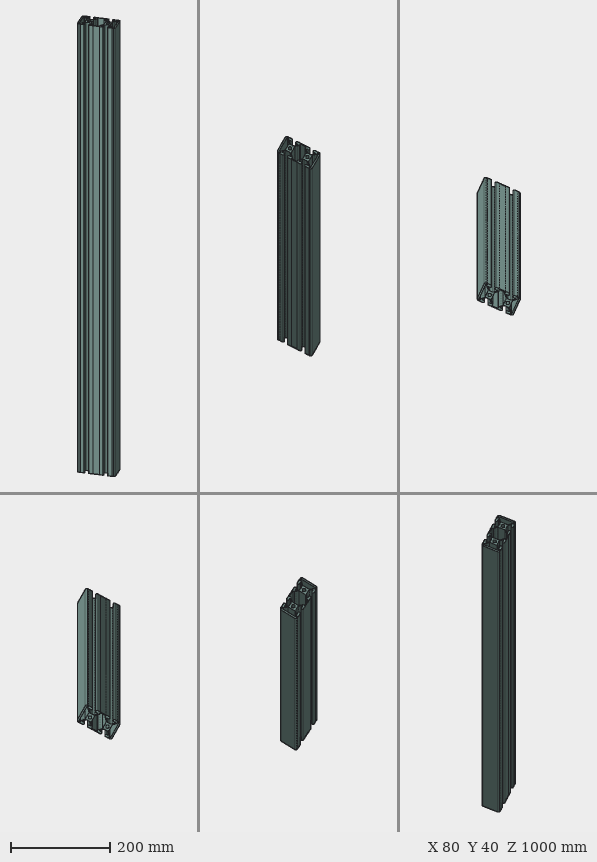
import cadquery as cq

LENGTH = 1000.0
CELL = 40.0
WIDTH = 2 * CELL
DEPTH = CELL
CORNER_RADIUS = 4.0
CELL_CENTERS = (-CELL / 2, CELL / 2)
BORE_DIAMETER = 6.8

MOUTH_HALF_WIDTH = 4.0
MOUTH_RADIUS = 2.2
LIP_HEIGHT = 15.0
LIP_RADIUS = 1.8
UNDERCUT_HALF_WIDTH = 10.0
UNDERCUT_RADIUS = 2.0
FLOOR_HALF_WIDTH = 4.2
FLOOR_HEIGHT = 8.0
FLOOR_RADIUS = 4.0
UNDERCUT_HEIGHT = FLOOR_HEIGHT + UNDERCUT_HALF_WIDTH - FLOOR_HALF_WIDTH

SIDE_WALL = 3.6
FACE_WALL = 1.8
CHAMBER_HEIGHT = DEPTH / 2 - FACE_WALL
SHELL_WALL = 3.5
SLOT_SHELL_HALF_WIDTH = UNDERCUT_HALF_WIDTH + SHELL_WALL
CORE_HALF_WIDTH = 6.8
CORE_HALF_HEIGHT = 8.0
SHELL_HEIGHT = CORE_HALF_HEIGHT + SLOT_SHELL_HALF_WIDTH - CORE_HALF_WIDTH

TOLERANCE = 0.001


def prism(points):
    return cq.Workplane("XY").polyline(points).close().extrude(LENGTH)


def round_long_edges(solid, xs, y, radius):
    """Round the edges along Z that stand at any of the given x positions, at +y or -y."""
    corners = []
    for edge in solid.edges("|Z").vals():
        center = edge.Center()
        at_x = any(abs(center.x - x) < TOLERANCE for x in xs)
        if at_x and abs(abs(center.y) - y) < TOLERANCE:
            corners.append(edge)
    return solid.newObject(corners).fillet(radius)


def t_slot():
    """Cutter for one slot that opens toward +Y, centred on X = 0."""
    right_side = [
        (MOUTH_HALF_WIDTH, DEPTH / 2),
        (MOUTH_HALF_WIDTH, LIP_HEIGHT),
        (UNDERCUT_HALF_WIDTH, LIP_HEIGHT),
        (UNDERCUT_HALF_WIDTH, UNDERCUT_HEIGHT),
        (FLOOR_HALF_WIDTH, FLOOR_HEIGHT),
    ]
    left_side = [(-x, y) for x, y in reversed(right_side)]
    slot = prism(right_side + left_side)
    rounded_corners = [
        (FLOOR_HALF_WIDTH, FLOOR_HEIGHT, FLOOR_RADIUS),
        (UNDERCUT_HALF_WIDTH, UNDERCUT_HEIGHT, UNDERCUT_RADIUS),
        (MOUTH_HALF_WIDTH, LIP_HEIGHT, LIP_RADIUS),
    ]
    for x, y, radius in rounded_corners:
        slot = round_long_edges(slot, (-x, x), y, radius)
    return slot


def shell_side(center, direction):
    """Upper half of the shell outline on one side of a slot, from the outer wall to the core."""
    return [
        (center + direction * SLOT_SHELL_HALF_WIDTH, CHAMBER_HEIGHT),
        (center + direction * SLOT_SHELL_HALF_WIDTH, SHELL_HEIGHT),
        (center + direction * CORE_HALF_WIDTH, CORE_HALF_HEIGHT),
    ]


def with_lower_half(points):
    return points + [(x, -y) for x, y in reversed(points)]


def middle_chamber():
    right_side = with_lower_half(shell_side(CELL / 2, -1))
    left_side = [(-x, y) for x, y in reversed(right_side)]
    return prism(right_side + left_side)


def end_chamber():
    """Chamber between the +X end wall and the slots next to it."""
    wall_corner = (WIDTH / 2 - SIDE_WALL, CHAMBER_HEIGHT)
    return prism(with_lower_half([wall_corner] + shell_side(CELL / 2, 1)))


body = cq.Workplane("XY").rect(WIDTH, DEPTH).extrude(LENGTH)
body = body.edges("|Z").fillet(CORNER_RADIUS)

upper_slot = t_slot()
lower_slot = upper_slot.mirror("XZ")
mouth_corners = []
for cell_x in CELL_CENTERS:
    for slot in (upper_slot, lower_slot):
        body = body.cut(slot.translate((cell_x, 0, 0)))
    mouth_corners += [cell_x - MOUTH_HALF_WIDTH, cell_x + MOUTH_HALF_WIDTH]
body = round_long_edges(body, mouth_corners, DEPTH / 2, MOUTH_RADIUS)

right_chamber = end_chamber()
left_chamber = right_chamber.mirror("YZ")
for chamber in (middle_chamber(), right_chamber, left_chamber):
    body = body.cut(chamber)

bores = cq.Workplane("XY").pushPoints([(x, 0) for x in CELL_CENTERS])
result = body.cut(bores.circle(BORE_DIAMETER / 2).extrude(LENGTH))